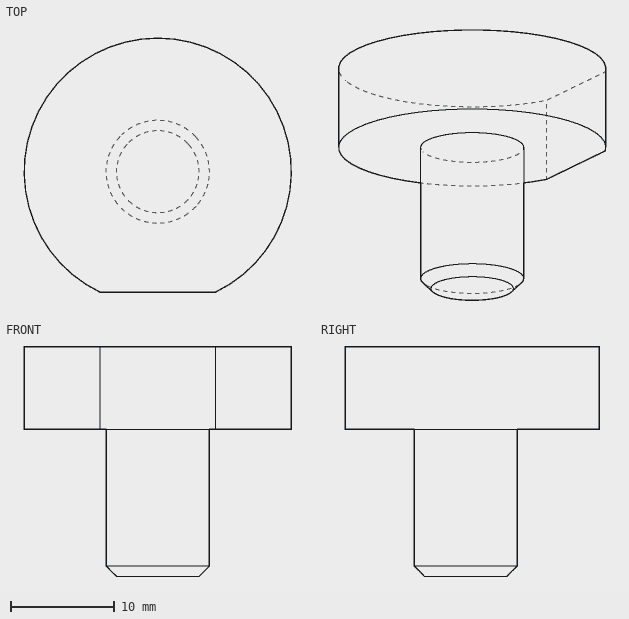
import cadquery as cq

head_diameter = 25.92
width_across_flat = 24.65
head_height = 8.0

total_height = 22.3
pin_diameter = 10.0
pin_chamfer = 1.0

pin_length = total_height - head_height
flat_y = head_diameter / 2 - width_across_flat


def make_head():
    """Disc standing on Z = 0, trimmed to the flat."""
    disc = cq.Workplane("XY").circle(head_diameter / 2).extrude(head_height)
    keep = (
        cq.Workplane("XY")
        .center(0, flat_y + head_diameter / 2)
        .rect(head_diameter * 2, head_diameter)
        .extrude(head_height)
    )
    return disc.intersect(keep)


def make_pin():
    """Pin hanging below Z = 0, with a chamfered tip."""
    pin = cq.Workplane("XY").circle(pin_diameter / 2).extrude(-pin_length)
    return pin.faces("<Z").chamfer(pin_chamfer)


result = make_head().union(make_pin())